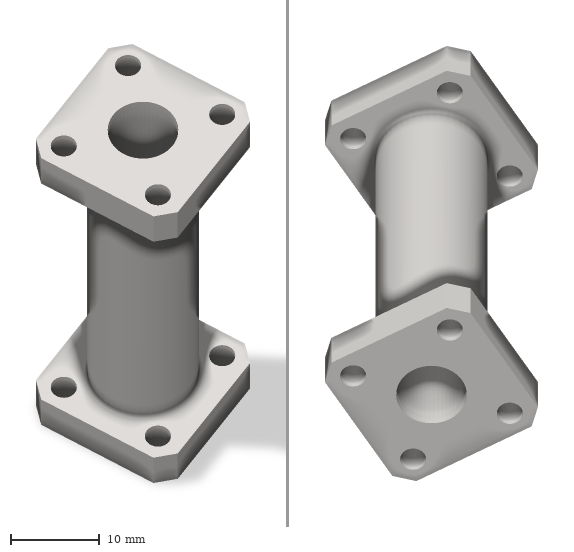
import cadquery as cq

length = 50.8
flange_side = 19.05
flange_thickness = 4.85
corner_chamfer = 2.0

tube_diameter = 12.7
bore_diameter = 8.0
root_fillet = 0.45

bolt_diameter = 2.95
bolt_pitch_x = 12.65
bolt_pitch_y = 13.4


def flange(bottom):
    """Square flange with chamfered corners, standing on the height `bottom`."""
    return (
        cq.Workplane("XY", origin=(0, 0, bottom))
        .rect(flange_side, flange_side)
        .extrude(flange_thickness)
        .edges("|Z")
        .chamfer(corner_chamfer)
    )


def tube():
    """Round tube reaching between the flanges, flared by a fillet at each end."""
    radius = tube_diameter / 2
    flare_radius = radius + root_fillet
    low = flange_thickness
    high = length - flange_thickness
    return (
        cq.Workplane("XZ")
        .moveTo(0, low)
        .lineTo(flare_radius, low)
        .radiusArc((radius, low + root_fillet), root_fillet)
        .lineTo(radius, high - root_fillet)
        .radiusArc((flare_radius, high), root_fillet)
        .lineTo(0, high)
        .close()
        .revolve(360, (0, 0, 0), (0, 1, 0))
    )


body = tube().union(flange(0)).union(flange(length - flange_thickness))

bore = cq.Workplane("XY").circle(bore_diameter / 2).extrude(length)
bolt_holes = (
    cq.Workplane("XY")
    .rect(bolt_pitch_x, bolt_pitch_y, forConstruction=True)
    .vertices()
    .circle(bolt_diameter / 2)
    .extrude(length)
)

result = body.cut(bore).cut(bolt_holes)